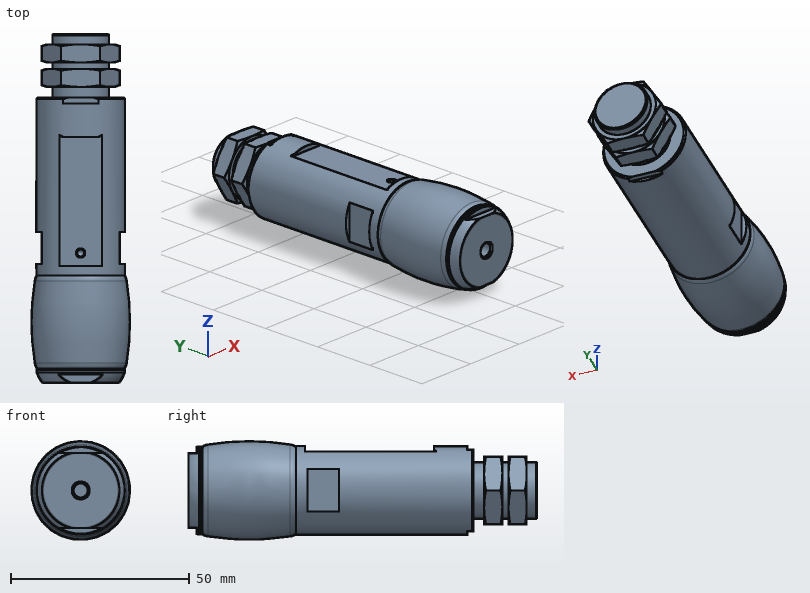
import cadquery as cq
import math

total_length = 98.0

housing_front = 30.2
housing_rear = 80.2
housing_radius = 25.0 / 2
housing_chamfer = 0.5
stub_radius = 16.0 / 2
stub_chamfer = 0.4

flat_offset = 11.0
flat_half_width = math.sqrt(housing_radius**2 - flat_offset**2)
long_flat_front = 32.8
long_flat_rear = 69.0
corner_relief_width = 1.1
corner_relief_length = 0.6
side_flat_front = 33.4
side_flat_rear = 42.3
rear_flat_offset = 11.5
rear_flat_length = 1.8

vent_position = 36.5
vent_diameter = 2.1
vent_mouth_diameter = 2.5
vent_depth = 1.0
drill_point_angle = 118.0

nut_across_flats = 19.0
nut_across_corners = nut_across_flats / math.cos(math.pi / 6)
nut_thickness = 5.1
nut_front_faces = (83.1, 90.0)
nut_chamfer = 0.5
nut_face_radius = nut_across_flats / 2

barrel_front = 4.0
barrel_rear = housing_front
barrel_middle = (barrel_front + barrel_rear) / 2
barrel_radius = 27.7 / 2
barrel_shoulder_radius = 12.9
barrel_end_radius = 12.3
barrel_end_length = 1.6
barrel_end_bulge = 0.1

cap_radius = 24.8 / 2
cap_neck_radius = 12.1
cap_neck_length = 0.4
cap_collar_front = 2.9
cap_nose_radius = 10.9
cap_nose_bulge = 0.15
cap_face_radius = 10.5
cap_face_chamfer = 0.1
cap_flat_offset = 10.5
cap_flat_length = 2.4
cap_bore_diameter = 4.0
cap_bore_chamfer = 0.5


def cylinder(radius, start, end):
    """Solid cylinder along +Y between two stations."""
    return cq.Workplane("XZ", origin=(0, start, 0)).circle(radius).extrude(start - end)


def outer_cut(offset, start, end):
    """Block lying above Z = offset, wider than any body."""
    size = 2 * barrel_radius
    return cq.Workplane("XY").box(size, end - start, size, centered=(True, False, False)).translate(
        (0, start, offset)
    )


def around_axis(shape, angle):
    """Copy of a shape turned about the Y axis."""
    return shape.rotate((0, 0, 0), (0, 1, 0), angle)


def make_long_flat_cut():
    """Long top flat whose rear wall runs back at both corners."""
    relief_start = flat_half_width - corner_relief_width
    relief_rear = long_flat_rear + corner_relief_length
    return (
        cq.Workplane("XY", origin=(0, 0, flat_offset))
        .moveTo(-flat_half_width, long_flat_front)
        .lineTo(flat_half_width, long_flat_front)
        .lineTo(flat_half_width, relief_rear)
        .lineTo(relief_start, long_flat_rear)
        .lineTo(-relief_start, long_flat_rear)
        .lineTo(-flat_half_width, relief_rear)
        .close()
        .extrude(housing_radius)
    )


def make_vent_cut():
    """Drilled blind hole with a countersunk mouth and a conical bottom."""
    radius = vent_diameter / 2
    mouth_radius = vent_mouth_diameter / 2
    mouth_bottom = flat_offset - (mouth_radius - radius)
    bore_bottom = flat_offset - vent_depth
    point_depth = radius / math.tan(math.radians(drill_point_angle / 2))
    profile = [
        (0, flat_offset),
        (mouth_radius, flat_offset),
        (radius, mouth_bottom),
        (radius, bore_bottom),
        (0, bore_bottom - point_depth),
    ]
    return (
        cq.Workplane("XZ").polyline(profile).close()
        .revolve(360, (0, 0), (0, 1))
        .translate((0, vent_position, 0))
    )


def make_housing():
    housing = cylinder(housing_radius, housing_front, housing_rear).faces(">Y").chamfer(housing_chamfer)
    stub = cylinder(stub_radius, housing_rear, total_length).faces(">Y").chamfer(stub_chamfer)
    housing = housing.union(stub)

    side_cut = outer_cut(flat_offset, side_flat_front, side_flat_rear)
    for angle in (90, -90):
        housing = housing.cut(around_axis(side_cut, angle))

    rear_cut = outer_cut(rear_flat_offset, housing_rear - rear_flat_length, housing_rear)
    for angle in (0, 180):
        housing = housing.cut(around_axis(rear_cut, angle))

    return housing.cut(make_long_flat_cut()).cut(make_vent_cut())


def make_nut(front):
    """Hexagonal nut with flats up and down and both faces chamfered by a cone."""
    rear = front + nut_thickness
    corner_radius = nut_across_corners / 2
    hexagon = (
        cq.Workplane("XZ", origin=(0, front, 0))
        .polygon(6, nut_across_corners)
        .extrude(-nut_thickness)
    )
    profile = [
        (0, front),
        (nut_face_radius, front),
        (corner_radius, front + nut_chamfer),
        (corner_radius, rear - nut_chamfer),
        (nut_face_radius, rear),
        (0, rear),
    ]
    envelope = cq.Workplane("XY").polyline(profile).close().revolve(360, (0, 0), (0, 1))
    return hexagon.intersect(envelope).cut(cylinder(stub_radius, front, rear))


def make_barrel():
    """Bulged grip with rounded ends."""
    front_shoulder = barrel_front + barrel_end_length
    rear_shoulder = barrel_rear - barrel_end_length
    bulge_radius = (barrel_end_radius + barrel_shoulder_radius) / 2 + barrel_end_bulge
    return (
        cq.Workplane("XY")
        .moveTo(0, barrel_front)
        .lineTo(barrel_end_radius, barrel_front)
        .threePointArc(
            (bulge_radius, barrel_front + barrel_end_length / 2), (barrel_shoulder_radius, front_shoulder)
        )
        .threePointArc((barrel_radius, barrel_middle), (barrel_shoulder_radius, rear_shoulder))
        .threePointArc(
            (bulge_radius, barrel_rear - barrel_end_length / 2), (barrel_end_radius, barrel_rear)
        )
        .lineTo(0, barrel_rear)
        .close()
        .revolve(360, (0, 0), (0, 1))
    )


def make_cap():
    """Rounded front cap with a neck, two wrench flats and a bore through to the barrel."""
    collar_rear = barrel_front - cap_neck_length
    nose_middle = (
        (cap_radius + cap_nose_radius) / 2 + cap_nose_bulge,
        (cap_collar_front + cap_face_chamfer) / 2,
    )
    cap = (
        cq.Workplane("XY")
        .moveTo(0, 0)
        .lineTo(cap_face_radius, 0)
        .lineTo(cap_nose_radius, cap_face_chamfer)
        .threePointArc(nose_middle, (cap_radius, cap_collar_front))
        .lineTo(cap_radius, collar_rear)
        .lineTo(cap_neck_radius, collar_rear)
        .lineTo(cap_neck_radius, barrel_front)
        .lineTo(0, barrel_front)
        .close()
        .revolve(360, (0, 0), (0, 1))
    )
    flat_cut = outer_cut(cap_flat_offset, 0, cap_flat_length)
    for angle in (0, 180):
        cap = cap.cut(around_axis(flat_cut, angle))

    bore = cylinder(cap_bore_diameter / 2, 0, barrel_front)
    cap = cap.cut(bore)
    return cap.faces("<Y").edges(cq.selectors.RadiusNthSelector(0)).chamfer(cap_bore_chamfer)


housing = make_housing()
barrel = make_barrel()
cap = make_cap()
nuts = [make_nut(front) for front in nut_front_faces]

result = cq.Compound.makeCompound(
    [housing.val(), barrel.val(), cap.val(), *[nut.val() for nut in nuts]]
)